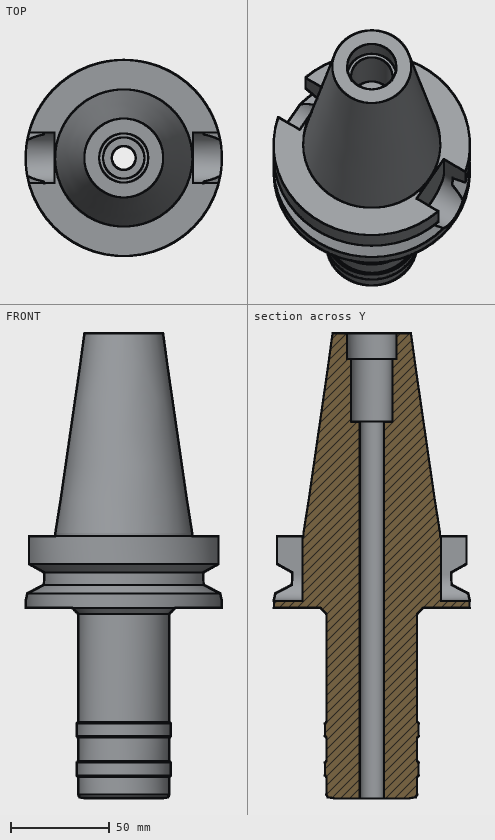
import cadquery as cq

GAUGE_Z = 135.0
TAPER_LENGTH = 101.8
TAPER_RATIO = 7 / 24
GAUGE_DIAMETER = 69.85
TOP_Z = GAUGE_Z + TAPER_LENGTH

FLANGE_DIAMETER = 100.0
FLANGE_TOP_Z = GAUGE_Z - 1.5
FLANGE_BOTTOM_Z = GAUGE_Z - 38.0
GROOVE_CENTRE_Z = GAUGE_Z - 23.1
GROOVE_FLOOR_DIAMETER = 85.0
GROOVE_FLOOR_WIDTH = 6.3
GROOVE_FLANK_HEIGHT = 4.33

SLOT_WIDTH = 25.7
SLOT_FLOOR_X = 35.3
SLOT_BOTTOM_Z = GAUGE_Z - 34.4

SHANK_DIAMETER = 46.5
NECK_CHAMFER = 3.0
NOSE_FACE_DIAMETER = 38.5
NOSE_EDGE_DIAMETER = 45.0
NOSE_EDGE_Z = 0.55
NOSE_CONE_TOP_Z = 2.0
BAND_DIAMETER = 48.0
BAND_HEIGHT = 8.0
BAND_CENTRES_Z = (15.0, 35.0)

SOCKET_DIAMETER = 25.0
SOCKET_DEPTH = 13.0
THREAD_BORE_DIAMETER = 21.0
THREAD_BORE_DEPTH = 45.0
THROUGH_BORE_DIAMETER = 12.0


def cylinder(diameter, bottom_z, height):
    """Cylinder on the Z axis."""
    return cq.Workplane("XY", origin=(0, 0, bottom_z)).circle(diameter / 2).extrude(height)


def make_body():
    """Revolved taper, grooved flange and plain shank with a double-coned nose."""
    gauge_radius = GAUGE_DIAMETER / 2
    tip_radius = gauge_radius - TAPER_LENGTH * TAPER_RATIO / 2
    flange_radius = FLANGE_DIAMETER / 2
    floor_radius = GROOVE_FLOOR_DIAMETER / 2
    shank_radius = SHANK_DIAMETER / 2
    floor_half = GROOVE_FLOOR_WIDTH / 2
    mouth_half = floor_half + GROOVE_FLANK_HEIGHT
    profile = [
        (0, 0),
        (NOSE_FACE_DIAMETER / 2, 0),
        (NOSE_EDGE_DIAMETER / 2, NOSE_EDGE_Z),
        (shank_radius, NOSE_CONE_TOP_Z),
        (shank_radius, FLANGE_BOTTOM_Z - NECK_CHAMFER),
        (shank_radius + NECK_CHAMFER, FLANGE_BOTTOM_Z),
        (flange_radius, FLANGE_BOTTOM_Z),
        (flange_radius, GROOVE_CENTRE_Z - mouth_half),
        (floor_radius, GROOVE_CENTRE_Z - floor_half),
        (floor_radius, GROOVE_CENTRE_Z + floor_half),
        (flange_radius, GROOVE_CENTRE_Z + mouth_half),
        (flange_radius, FLANGE_TOP_Z),
        (gauge_radius, FLANGE_TOP_Z),
        (gauge_radius, GAUGE_Z),
        (tip_radius, TOP_Z),
        (0, TOP_Z),
    ]
    return cq.Workplane("YZ").polyline(profile).close().revolve(360, (0, 0), (0, 1))


def make_band(centre_z):
    """Raised band around the shank, its edges sloping at 45 degrees down to the shank."""
    slope = (BAND_DIAMETER - SHANK_DIAMETER) / 2
    return cylinder(BAND_DIAMETER, centre_z - BAND_HEIGHT / 2, BAND_HEIGHT).edges().chamfer(slope)


def make_drive_slot(side):
    """Round-bottomed slot cutter; side is -1 for -X and +1 for +X."""
    half_width = SLOT_WIDTH / 2
    arc_centre_z = SLOT_BOTTOM_Z + half_width
    return (
        cq.Workplane("YZ", origin=(side * SLOT_FLOOR_X, 0, 0))
        .moveTo(-half_width, FLANGE_TOP_Z)
        .lineTo(-half_width, arc_centre_z)
        .threePointArc((0, SLOT_BOTTOM_Z), (half_width, arc_centre_z))
        .lineTo(half_width, FLANGE_TOP_Z)
        .close()
        .extrude(side * FLANGE_DIAMETER / 2)
    )


def make_bore():
    """Through bore widened in two steps toward the small end of the taper."""
    through = cylinder(THROUGH_BORE_DIAMETER, 0, TOP_Z)
    thread = cylinder(THREAD_BORE_DIAMETER, TOP_Z - THREAD_BORE_DEPTH, THREAD_BORE_DEPTH)
    socket = cylinder(SOCKET_DIAMETER, TOP_Z - SOCKET_DEPTH, SOCKET_DEPTH)
    return through.union(thread).union(socket)


result = make_body()
for band_centre_z in BAND_CENTRES_Z:
    result = result.union(make_band(band_centre_z))
for slot_side in (-1, 1):
    result = result.cut(make_drive_slot(slot_side))
result = result.cut(make_bore())